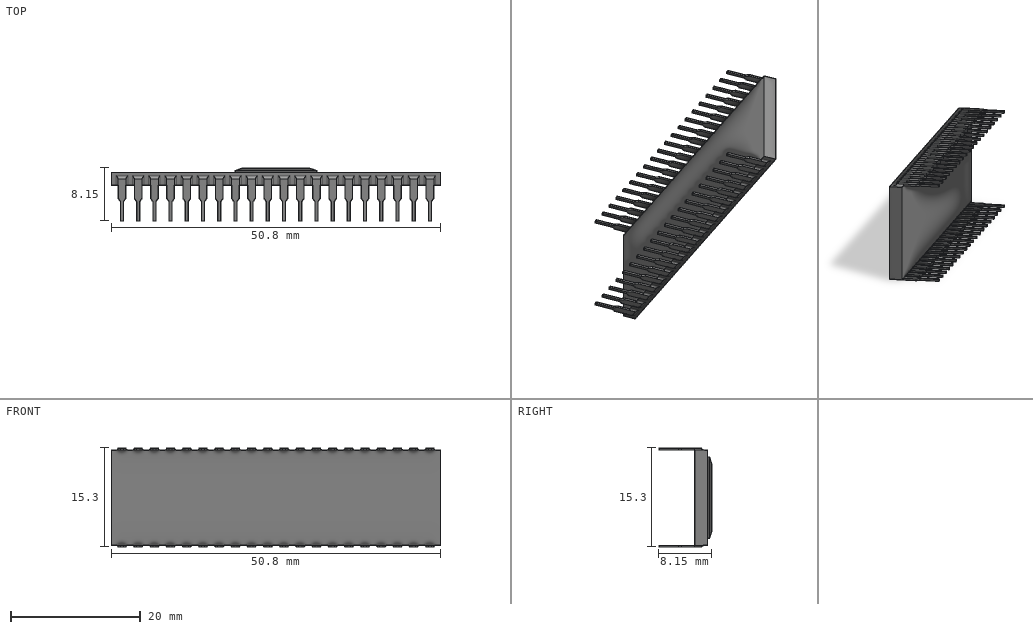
import cadquery as cq
import math

body_length = 50.8
body_thickness = 2.0
body_height = 14.7
front_y = -body_thickness / 2
back_y = body_thickness / 2

lid_side = 12.6
lid_height = 0.65
lid_wall_height = 0.3
lid_bevel_inset = 1.1

leads_per_row = 20
lead_pitch = 2.5
lead_thickness = 0.3
lead_setback = 1.0
lead_reach = 5.5
shoulder_width = 1.2
shoulder_reach = 2.0
pin_width = 0.5
taper_length = 0.5

solder_side_run = 0.3
solder_back_run = 0.55


def make_body():
    return cq.Workplane("XY").box(body_length, body_thickness, body_height)


def make_lid():
    bevel_height = lid_height - lid_wall_height
    bevel_angle = math.degrees(math.atan2(lid_bevel_inset, bevel_height))
    wall = cq.Workplane("ZX", origin=(0, back_y, 0)).rect(lid_side, lid_side).extrude(lid_wall_height)
    return wall.faces(">Y").wires().toPending().extrude(bevel_height, taper=bevel_angle)


def make_lead():
    """One lead centred on X = 0, with its underside at Z = 0."""
    root_y = back_y - lead_setback
    taper_start_y = front_y - shoulder_reach
    taper_end_y = taper_start_y - taper_length
    tip_y = front_y - lead_reach
    half_shoulder = shoulder_width / 2
    half_pin = pin_width / 2
    return (
        cq.Workplane("XY")
        .moveTo(-half_shoulder, root_y)
        .lineTo(-half_shoulder, taper_start_y)
        .lineTo(-half_pin, taper_end_y)
        .lineTo(-half_pin, tip_y)
        .lineTo(half_pin, tip_y)
        .lineTo(half_pin, taper_end_y)
        .lineTo(half_shoulder, taper_start_y)
        .lineTo(half_shoulder, root_y)
        .close()
        .extrude(lead_thickness)
    )


def concave_arc_middle(run):
    """Middle of an arc that leaves the body flat and climbs to the lead's top.

    Returns the distance covered along the body and the height gained.
    """
    radius = (run**2 + lead_thickness**2) / (2 * lead_thickness)
    half_angle = math.atan2(lead_thickness, run)
    return radius * math.sin(half_angle), radius * (1 - math.cos(half_angle))


def make_solder():
    """Solder of one lead: the side profile and the back profile meet in mitred corners."""
    half_top = shoulder_width / 2
    half_base = half_top + solder_side_run
    root_y = back_y - lead_setback
    base_back_y = root_y + solder_back_run

    along, rise = concave_arc_middle(solder_side_run)
    across_lead = (
        cq.Workplane("XZ", origin=(0, base_back_y, 0))
        .moveTo(-half_base, 0)
        .threePointArc((along - half_base, rise), (-half_top, lead_thickness))
        .lineTo(half_top, lead_thickness)
        .threePointArc((half_base - along, rise), (half_base, 0))
        .close()
        .extrude(base_back_y - front_y)
    )

    along, rise = concave_arc_middle(solder_back_run)
    along_lead = (
        cq.Workplane("YZ")
        .moveTo(front_y, 0)
        .lineTo(front_y, lead_thickness)
        .lineTo(root_y, lead_thickness)
        .threePointArc((base_back_y - along, rise), (base_back_y, 0))
        .close()
        .extrude(half_base, both=True)
    )
    return across_lead.intersect(along_lead)


def make_lead_rows():
    lead = make_lead().union(make_solder()).translate((0, 0, body_height / 2))
    mirrored_lead = lead.mirror("XY")
    first_x = -lead_pitch * (leads_per_row - 1) / 2
    leads = []
    for index in range(leads_per_row):
        shift = cq.Vector(first_x + index * lead_pitch, 0, 0)
        leads.append(lead.val().translate(shift))
        leads.append(mirrored_lead.val().translate(shift))
    return cq.Workplane("XY").newObject([cq.Compound.makeCompound(leads)])


result = make_body().union(make_lid()).union(make_lead_rows())